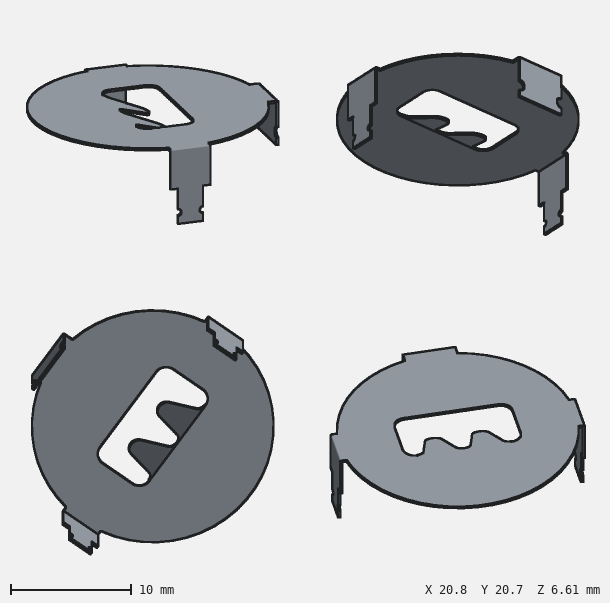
import cadquery as cq
import math


SHEET = 0.2
PLATE_RADIUS = 10.0
ARM_OVERLAP = 0.83

WINDOW_LENGTH = 10.0
WINDOW_WIDTH = 5.0
WINDOW_CORNER = 1.0

TOOTH_COUNT = 2
TOOTH_PITCH = (WINDOW_LENGTH - 2 * WINDOW_CORNER) / TOOTH_COUNT
TOOTH_LENGTH = 3.47
TOOTH_TIP_RADIUS = 0.75
TOOTH_ROOT_RADIUS = 0.65
TOOTH_SLOPE = 20.0

SIDE_REACH = 10.4
SIDE_TAB_WIDTH = 3.52
SIDE_TAB_DROP = 3.52
SIDE_PIN_WIDTH = 2.2
SIDE_DROP = 6.61
SIDE_NOTCH_RADIUS = 0.3
SIDE_NOTCH_DEPTH = 5.62

BACK_REACH = 10.7
BACK_WIDTH = 4.45
BACK_DROP = 3.9
BACK_NOTCH_RADIUS = 0.48
BACK_NOTCH_DEPTH = 2.8


def make_plate():
    """Round plate with the rounded rectangular window."""
    window = (
        cq.Workplane("XY")
        .rect(WINDOW_LENGTH, WINDOW_WIDTH)
        .extrude(-SHEET)
        .edges("|Z")
        .fillet(WINDOW_CORNER)
    )
    return cq.Workplane("XY").circle(PLATE_RADIUS).extrude(-SHEET).cut(window)


def make_slab(x_start, x_end, width, drop):
    """Block between two X positions, centred on Y and reaching down from Z = 0."""
    slab = cq.Workplane("XY").box(x_end - x_start, width, drop, centered=(False, True, False))
    return slab.translate((x_start, 0, -drop))


def make_leg(reach, tab_width, tab_drop, pin_width, drop, notch_radius, notch_depth):
    """Leg on the +X side: a flat arm from the plate, a rounded bend, a tab and a notched pin."""
    tab_start = reach - SHEET
    arm = make_slab(PLATE_RADIUS - ARM_OVERLAP, reach, tab_width, SHEET)
    tab = make_slab(tab_start, reach, tab_width, tab_drop)
    pin = make_slab(tab_start, reach, pin_width, drop)
    notches = (
        cq.Workplane("YZ", origin=(tab_start, 0, 0))
        .pushPoints([(side * pin_width / 2, -notch_depth) for side in (-1, 1)])
        .circle(notch_radius)
        .extrude(SHEET)
    )
    leg = arm.union(tab).union(pin).cut(notches)

    corner = (
        cq.Workplane("XZ", origin=(0, tab_width / 2, 0))
        .moveTo(tab_start, 0)
        .radiusArc((reach, -SHEET), SHEET)
        .lineTo(reach, 0)
        .close()
        .extrude(tab_width)
    )
    return leg.cut(corner)


def make_tooth(x):
    """Tooth with a round tip and concave roots, tilted about the lower window edge at the given X."""
    half_pitch = TOOTH_PITCH / 2
    tip_centre = TOOTH_LENGTH - TOOTH_TIP_RADIUS

    rise = tip_centre - TOOTH_ROOT_RADIUS
    spacing = math.hypot(half_pitch, rise)
    normal = math.acos((TOOTH_TIP_RADIUS + TOOTH_ROOT_RADIUS) / spacing) - math.atan2(rise, half_pitch)
    tip_x = TOOTH_TIP_RADIUS * math.cos(normal)
    tip_y = tip_centre + TOOTH_TIP_RADIUS * math.sin(normal)
    root_x = half_pitch - TOOTH_ROOT_RADIUS * math.cos(normal)
    root_y = TOOTH_ROOT_RADIUS * (1 - math.sin(normal))

    mid_angle = (math.pi / 2 + normal) / 2
    mid_x = half_pitch - TOOTH_ROOT_RADIUS * math.cos(mid_angle)
    mid_y = TOOTH_ROOT_RADIUS * (1 - math.sin(mid_angle))

    tooth = (
        cq.Workplane("XY")
        .moveTo(-half_pitch, 0)
        .threePointArc((-mid_x, mid_y), (-root_x, root_y))
        .lineTo(-tip_x, tip_y)
        .threePointArc((0, TOOTH_LENGTH), (tip_x, tip_y))
        .lineTo(root_x, root_y)
        .threePointArc((mid_x, mid_y), (half_pitch, 0))
        .close()
        .extrude(-SHEET)
        .rotate((0, 0, -SHEET), (1, 0, -SHEET), -TOOTH_SLOPE)
    )
    return tooth.translate((x, -WINDOW_WIDTH / 2, 0))


def make_tooth_bend():
    """Rounded strip joining the window edge to the roots of all the teeth."""
    slope = math.radians(TOOTH_SLOPE)
    length = TOOTH_COUNT * TOOTH_PITCH
    return (
        cq.Workplane("YZ", origin=(-length / 2, -WINDOW_WIDTH / 2, -SHEET))
        .lineTo(0, SHEET)
        .radiusArc((SHEET * math.sin(slope), SHEET * math.cos(slope)), SHEET)
        .close()
        .extrude(length)
    )


result = make_plate().union(make_tooth_bend())

side_leg = make_leg(
    SIDE_REACH, SIDE_TAB_WIDTH, SIDE_TAB_DROP, SIDE_PIN_WIDTH,
    SIDE_DROP, SIDE_NOTCH_RADIUS, SIDE_NOTCH_DEPTH,
)
back_leg = make_leg(
    BACK_REACH, BACK_WIDTH, BACK_DROP, BACK_WIDTH,
    BACK_DROP, BACK_NOTCH_RADIUS, BACK_NOTCH_DEPTH,
)
for leg, angle in ((side_leg, 0), (back_leg, 90), (side_leg, 180)):
    result = result.union(leg.rotate((0, 0, 0), (0, 0, 1), angle))

for index in range(TOOTH_COUNT):
    result = result.union(make_tooth((index - (TOOTH_COUNT - 1) / 2) * TOOTH_PITCH))